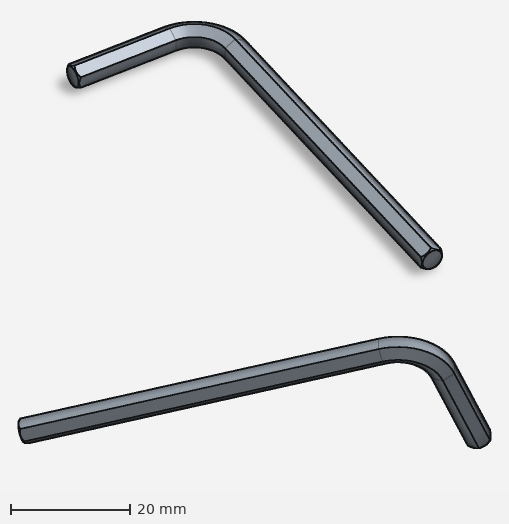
import cadquery as cq
import math

long_reach = 74.0
short_reach = 29.0
across_flats = 4.0
across_corners = across_flats / math.cos(math.radians(30))
half_flats = across_flats / 2
bend_radius = 8.0

end_face_diameter = 3.8
chamfer_length = (across_corners - end_face_diameter) / 2

long_tip = long_reach - half_flats
short_tip = short_reach - half_flats


def bent_bar():
    """Sweep the hexagon along the short arm, the bend and the long arm."""
    mid_offset = bend_radius * (1 - math.cos(math.radians(45)))
    path = (
        cq.Workplane("XY")
        .moveTo(0, -short_tip)
        .lineTo(0, -bend_radius)
        .threePointArc((mid_offset, -mid_offset), (bend_radius, 0))
        .lineTo(long_tip, 0)
    )
    corners = []
    for index in range(6):
        angle = math.radians(90 + 60 * index)
        corners.append((across_corners / 2 * math.cos(angle), across_corners / 2 * math.sin(angle)))
    section = cq.Workplane("XZ", origin=(0, -short_tip, 0)).polyline(corners).close()
    return section.sweep(path)


def end_trim(tip, direction):
    """Material outside the cone that chamfers the bar's end at the tip."""
    end_plane = cq.Plane(origin=tip, xDir=(0, 0, 1), normal=direction)
    block = cq.Workplane(end_plane).circle(across_corners).extrude(-chamfer_length)
    cone = (
        cq.Workplane(end_plane)
        .circle(end_face_diameter / 2)
        .workplane(offset=-chamfer_length)
        .circle(across_corners / 2)
        .loft(ruled=True)
    )
    return block.cut(cone)


result = bent_bar()
result = result.cut(end_trim((long_tip, 0, 0), (1, 0, 0)))
result = result.cut(end_trim((0, -short_tip, 0), (0, -1, 0)))